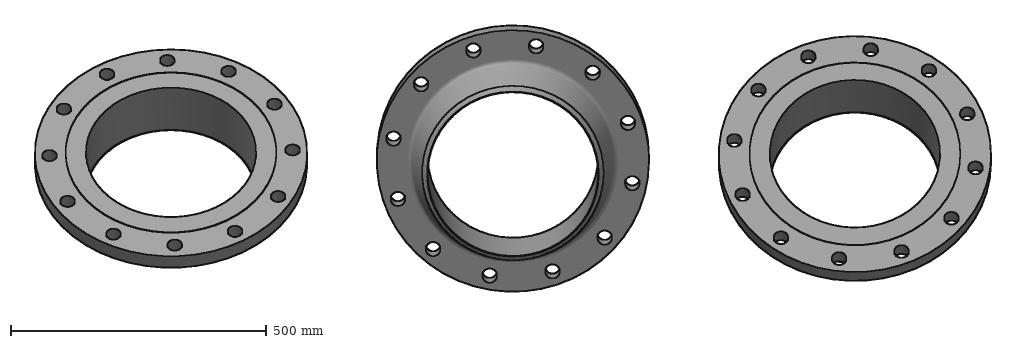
import cadquery as cq
import math

flange_diameter = 533.4
flange_thickness = 35.0
raised_face_diameter = 412.75
raised_face_height = 1.59
overall_height = 128.59
bore_diameter = 333.4

hub_base_diameter = 400.05
pipe_diameter = 355.6
neck_straight_length = 6.35
hub_fillet_radius = 9.5

weld_land = 1.6
bevel_angle = 37.5

bolt_count = 12
bolt_circle_diameter = 476.25
bolt_hole_diameter = 28.575

flange_top = overall_height - raised_face_height
flange_underside = flange_top - flange_thickness
land_radius = bore_diameter / 2 + weld_land
bevel_width = pipe_diameter / 2 - land_radius
bevel_height = bevel_width * math.tan(math.radians(bevel_angle))
taper_start = bevel_height + neck_straight_length


def make_body():
    """Revolve the half section of flange, raised face, hub and neck."""
    section = (
        cq.Workplane("XZ")
        .moveTo(bore_diameter / 2, 0)
        .lineTo(land_radius, 0)
        .lineTo(pipe_diameter / 2, bevel_height)
        .lineTo(pipe_diameter / 2, taper_start)
        .lineTo(hub_base_diameter / 2, flange_underside)
        .lineTo(flange_diameter / 2, flange_underside)
        .lineTo(flange_diameter / 2, flange_top)
        .lineTo(raised_face_diameter / 2, flange_top)
        .lineTo(raised_face_diameter / 2, overall_height)
        .lineTo(bore_diameter / 2, overall_height)
        .close()
    )
    return section.revolve(360, (0, 0, 0), (0, 1, 0))


def fillet_hub(body):
    """Round the inside corner where the hub meets the flange underside."""
    hub_base_edge = cq.selectors.RadiusNthSelector(-3)
    return body.edges("%CIRCLE").edges(hub_base_edge).fillet(hub_fillet_radius)


def drill_bolt_holes(body):
    """Cut the evenly spaced through holes on the bolt circle."""
    drills = (
        cq.Workplane("XY")
        .workplane(offset=flange_underside)
        .polarArray(bolt_circle_diameter / 2, 0, 360, bolt_count)
        .circle(bolt_hole_diameter / 2)
        .extrude(flange_thickness)
    )
    return body.cut(drills)


result = drill_bolt_holes(fillet_hub(make_body()))